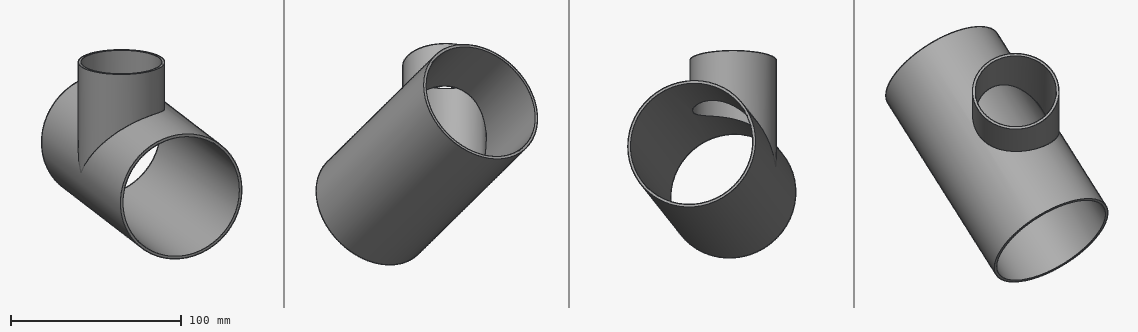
import cadquery as cq

run_length = 131.78
run_outer_diameter = 76.2

branch_outer_diameter = 50.8
branch_top_z = 65.09

wall = 1.65

run_outer_radius = run_outer_diameter / 2
run_inner_radius = run_outer_radius - wall
branch_outer_radius = branch_outer_diameter / 2
branch_inner_radius = branch_outer_radius - wall

branch_y = branch_outer_radius - run_outer_radius


def run_cylinder(radius):
    """Solid cylinder along X, centred on the origin."""
    return cq.Workplane("YZ").circle(radius).extrude(run_length / 2, both=True)


def branch_cylinder(radius):
    """Solid cylinder from the run axis level up to the branch mouth."""
    return cq.Workplane("XY").center(0, branch_y).circle(radius).extrude(branch_top_z)


outer_body = run_cylinder(run_outer_radius).union(branch_cylinder(branch_outer_radius))
result = (
    outer_body
    .cut(run_cylinder(run_inner_radius))
    .cut(branch_cylinder(branch_inner_radius))
)